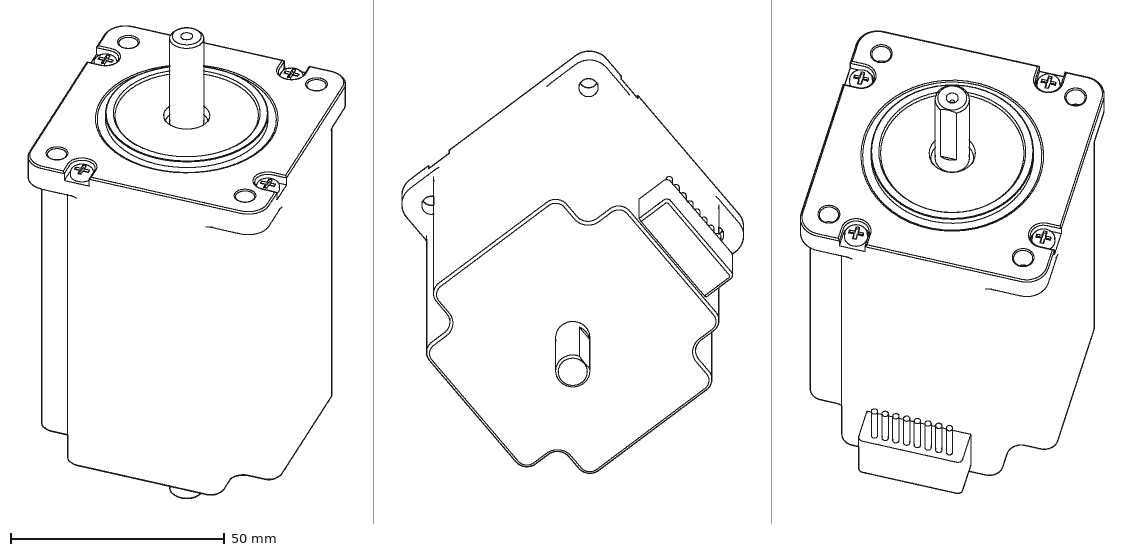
import cadquery as cq
import math


side = 60.0
half = side / 2
body_length = 85.0
flange_thickness = 6.4
flange_corner_radius = 5.2
flange_chamfer = 0.4
rear_chamfer = 0.7

notch_wall = 19.5
notch_edge_radius = 3.3
notch_inner_radius = 3.4
notch_roof_fillet = 0.3

bolt_offset = 47.14 / 2
bolt_hole_diameter = 4.5
bolt_hole_chamfer = 0.3

pilot_radius = 19.05
pilot_height = 1.6
pilot_chamfer = 0.15
relief_radius = 21.4
relief_depth = 0.2
face_recess_radius = 17.2
face_recess_depth = 0.65
bore_radius = 5.4
bore_depth = 2.0
recess_taper = 0.4

shaft_radius = 4.0
front_shaft_reach = 24.0
rear_shaft_reach = 23.0
shaft_chamfer = 0.6
flat_depth = 0.5
flat_length = 20.0
center_mouth_radius = 1.4
center_hole_radius = 0.5
center_hole_depth = 2.5
center_cone_angle = 60.0

screw_along = 16.2
screw_across = 26.5
pocket_radius = 3.1
pocket_depth = 2.4
head_radius = 2.7
head_height = 1.6
head_fillet = 0.8
cross_length = 3.4
cross_width = 0.8
cross_depth = 0.8

connector_width = 25.2
connector_reach = 8.5
connector_top = -68.7
connector_height = 13.7
connector_edge_radius = 1.2
connector_bottom_chamfer = 0.7
wire_count = 8
wire_pitch = 2.6
wire_radius = 0.75
wire_length = 10.0
wire_inset = 2.3

front_shaft_end = front_shaft_reach
rear_shaft_end = -body_length - rear_shaft_reach


def disc(radius, bottom, height):
    """Cylinder on the motor axis."""
    return cq.Workplane("XY").workplane(offset=bottom).circle(radius).extrude(height)


def turned(profile):
    """Solid of revolution about the motor axis from (radius, height) points."""
    return cq.Workplane("XZ").polyline(profile).close().revolve(360, (0, 0), (0, 1))


def corner_notch(bottom, height):
    """Cutter for the notch at the +X +Y body corner."""
    diagonal = math.sqrt(0.5)
    edge_center = notch_wall - notch_edge_radius
    edge_middle = edge_center + notch_edge_radius * diagonal
    edge_face = half - notch_edge_radius
    edge_face_middle = edge_face + notch_edge_radius * diagonal
    inner_center = notch_wall + notch_inner_radius
    inner_middle = inner_center - notch_inner_radius * diagonal
    beyond = half + 1
    cutter = (
        cq.Workplane("XY").workplane(offset=bottom)
        .moveTo(half, edge_center)
        .threePointArc((edge_face_middle, edge_middle), (edge_face, notch_wall))
        .lineTo(inner_center, notch_wall)
        .threePointArc((inner_middle, inner_middle), (notch_wall, inner_center))
        .lineTo(notch_wall, edge_face)
        .threePointArc((edge_middle, edge_face_middle), (edge_center, half))
        .lineTo(edge_center, beyond)
        .lineTo(beyond, beyond)
        .lineTo(beyond, edge_center)
        .close()
        .extrude(height)
    )
    wall_edges = cq.selectors.BoxSelector(
        (0, 0, bottom + height - 1), (half - 1, half - 1, bottom + height + 1)
    )
    return cutter.faces(">Z").edges(wall_edges).fillet(notch_roof_fillet)


def screw_pocket():
    """Cutter for the screw pocket that opens onto the +Y face."""
    opening = half - screw_across + 1
    floor = cq.Workplane("XY").workplane(offset=-pocket_depth)
    round_end = floor.center(screw_along, screw_across).circle(pocket_radius).extrude(pocket_depth)
    channel = (
        floor.center(screw_along, screw_across + opening / 2)
        .rect(2 * pocket_radius, opening)
        .extrude(pocket_depth)
    )
    return round_end.union(channel)


def screw_head():
    """Rounded screw head with a cross recess, standing on the pocket floor."""
    head_top = head_height - pocket_depth
    head = (
        cq.Workplane("XY").workplane(offset=-pocket_depth)
        .center(screw_along, screw_across)
        .circle(head_radius)
        .extrude(head_height)
        .faces(">Z").edges().fillet(head_fillet)
    )
    recess = cq.Workplane("XY").workplane(offset=head_top).center(screw_along, screw_across)
    head = head.cut(recess.rect(cross_length, cross_width).extrude(-cross_depth))
    return head.cut(recess.rect(cross_width, cross_length).extrude(-cross_depth))


def around_axis(shape):
    """The four copies of a shape at quarter turns about the motor axis."""
    return [shape.rotate((0, 0, 0), (0, 0, 1), 90 * turn) for turn in range(4)]


def make_housing():
    housing = (
        cq.Workplane("XY").rect(side, side).extrude(-body_length)
        .edges("|Z").fillet(flange_corner_radius)
    )
    for notch in around_axis(corner_notch(-body_length, body_length - flange_thickness)):
        housing = housing.cut(notch)
    for pocket in around_axis(screw_pocket()):
        housing = housing.cut(pocket)
    housing = housing.faces(">Z").edges().chamfer(flange_chamfer)
    housing = housing.faces("<Z").edges().chamfer(rear_chamfer)
    for head in around_axis(screw_head()):
        housing = housing.union(head)
    return (
        housing.faces(">Z").workplane(origin=(0, 0, 0))
        .rect(2 * bolt_offset, 2 * bolt_offset, forConstruction=True)
        .vertices()
        .cskHole(bolt_hole_diameter, bolt_hole_diameter + 2 * bolt_hole_chamfer, 90, flange_thickness)
    )


def tapered_recess(radius, top, depth):
    """Cutter for a turned recess with a sloping wall."""
    floor = top - depth
    return turned([(0, top), (radius, top), (radius - recess_taper, floor), (0, floor)])


def add_pilot(housing):
    housing = housing.cut(tapered_recess(relief_radius, 0, relief_depth))
    pilot = disc(pilot_radius, -relief_depth, pilot_height + relief_depth)
    housing = housing.union(pilot.faces(">Z").edges().chamfer(pilot_chamfer))
    housing = housing.cut(tapered_recess(face_recess_radius, pilot_height, face_recess_depth))
    return housing.cut(tapered_recess(bore_radius, pilot_height - face_recess_depth, bore_depth))


def shaft_flat(bottom):
    """Cutter for the flat on the +Y side of one shaft end."""
    return (
        cq.Workplane("XY").workplane(offset=bottom)
        .center(0, shaft_radius)
        .rect(2 * shaft_radius, 2 * flat_depth)
        .extrude(flat_length)
    )


def make_shaft():
    shaft = (
        disc(shaft_radius, rear_shaft_end, front_shaft_end - rear_shaft_end)
        .faces("<Z or >Z").edges().chamfer(shaft_chamfer)
    )
    shaft = shaft.cut(shaft_flat(front_shaft_end - flat_length))
    shaft = shaft.cut(shaft_flat(rear_shaft_end))
    cone_depth = (center_mouth_radius - center_hole_radius) / math.tan(math.radians(center_cone_angle / 2))
    center_hole = turned([
        (0, front_shaft_end),
        (center_mouth_radius, front_shaft_end),
        (center_hole_radius, front_shaft_end - cone_depth),
        (center_hole_radius, front_shaft_end - center_hole_depth),
        (0, front_shaft_end - center_hole_depth),
    ])
    return shaft.cut(center_hole)


def make_connector():
    connector = (
        cq.Workplane("XY").workplane(offset=connector_top)
        .center(0, half + connector_reach / 2)
        .rect(connector_width, connector_reach)
        .extrude(-connector_height)
        .edges("|Z and >Y").fillet(connector_edge_radius)
        .faces("<Z").edges("not <Y").chamfer(connector_bottom_chamfer)
    )
    wires = (
        cq.Workplane("XY").workplane(offset=connector_top)
        .center(0, half + connector_reach - wire_inset)
        .rarray(wire_pitch, 1, wire_count, 1)
        .circle(wire_radius)
        .extrude(wire_length)
    )
    return connector.union(wires)


result = add_pilot(make_housing()).union(make_shaft()).union(make_connector())